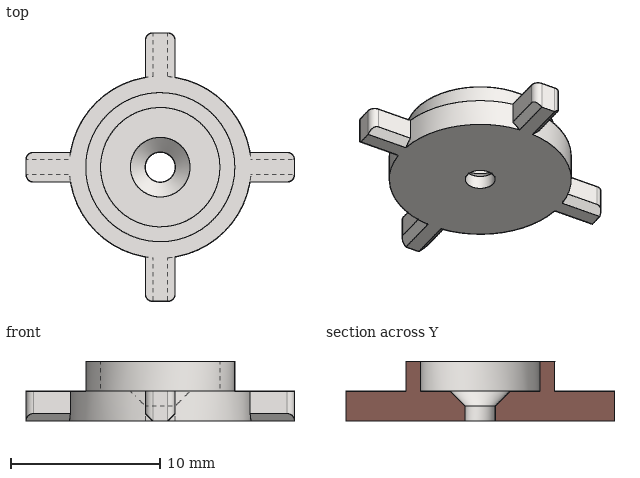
import cadquery as cq

disc_diameter = 12.2
disc_thickness = 2.0

arm_span = 18.0
arm_width = 2.0
arm_corner_radius = 0.5
arm_chamfer = 0.5

ring_outer_diameter = 10.0
ring_inner_diameter = 8.0
ring_height = 2.0

hole_diameter = 2.0
countersink_diameter = 4.0
countersink_angle = 90.0


def make_disc():
    """Round base plate resting on the XY plane."""
    return cq.Workplane("XY").circle(disc_diameter / 2).extrude(disc_thickness)


def make_bar():
    """Bar along X whose ends form two opposite arms, chamfered along its long bottom edges."""
    bar = cq.Workplane("XY").box(arm_span, arm_width, disc_thickness, centered=(True, True, False))
    bar = bar.edges("|Z").fillet(arm_corner_radius)
    half_width = arm_width / 2
    chamfer_start = half_width - arm_chamfer
    chamfered_section = (
        cq.Workplane("YZ")
        .moveTo(-chamfer_start, 0)
        .lineTo(chamfer_start, 0)
        .lineTo(half_width, arm_chamfer)
        .lineTo(half_width, disc_thickness)
        .lineTo(-half_width, disc_thickness)
        .lineTo(-half_width, arm_chamfer)
        .close()
        .extrude(arm_span / 2, both=True)
    )
    return bar.intersect(chamfered_section)


def make_ring():
    """Raised wall standing on the disc."""
    return (
        cq.Workplane("XY", origin=(0, 0, disc_thickness))
        .circle(ring_outer_diameter / 2)
        .circle(ring_inner_diameter / 2)
        .extrude(ring_height)
    )


def cut_centre_hole(body):
    """Countersunk through hole opening from the recess floor."""
    floor = cq.Workplane("XY", origin=(0, 0, disc_thickness)).add(body.val()).pushPoints([(0, 0)])
    return floor.cskHole(hole_diameter, countersink_diameter, countersink_angle)


body = make_disc()
for angle in (0, 90):
    body = body.union(make_bar().rotate((0, 0, 0), (0, 0, 1), angle))
body = body.union(make_ring())
result = cut_centre_hole(body)